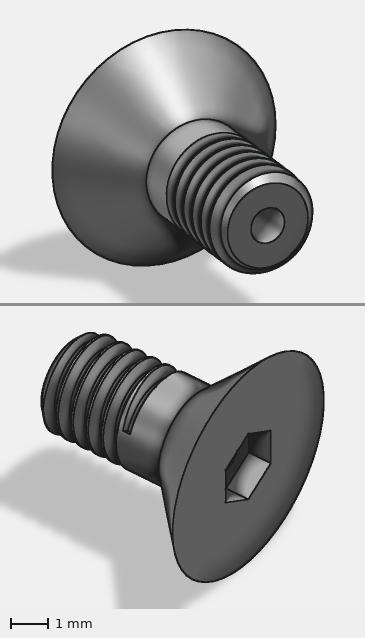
import cadquery as cq
import math

head_radius = 3.36
shank_radius = 1.5
screw_length = 6.0
head_height = head_radius - shank_radius

socket_across_flats = 2.0
socket_depth = 0.74
bore_diameter = 1.01

pitches_in_length = 12
pitch = screw_length / pitches_in_length
thread_depth = 0.29
root_width = 0.095
flank_angle = 30.0
thread_segments = 4
clearance = 0.035

lead_in_start_angle = 23.0
lead_in_sweep = 75.0
lead_in_depth = 0.13
groove_start_x = 3.025


def screw_blank():
    """Head, shank and 45 degree end chamfer turned about X."""
    tip_radius = shank_radius - thread_depth
    return (
        cq.Workplane("XY")
        .moveTo(0, 0)
        .lineTo(0, head_radius)
        .lineTo(head_height, shank_radius)
        .lineTo(screw_length - thread_depth, shank_radius)
        .lineTo(screw_length, tip_radius)
        .lineTo(screw_length, 0)
        .close()
        .revolve(360, (0, 0, 0), (1, 0, 0))
    )


def groove_profile(depth):
    """(radius, axial offset) corners of the groove section."""
    root_radius = shank_radius - depth
    cutter_height = thread_depth + clearance
    half_root = root_width / 2
    half_mouth = half_root + cutter_height * math.tan(math.radians(flank_angle))
    mouth_radius = root_radius + cutter_height
    return [
        (root_radius, -half_root),
        (root_radius, half_root),
        (mouth_radius, half_mouth),
        (mouth_radius, -half_mouth),
    ]


def helix_edge(radius, start_z, height, cone_angle):
    """Right-hand helix about Z, narrowing upwards for a negative cone angle."""
    slant = 1 / math.cos(math.radians(cone_angle))
    wire = cq.Wire.makeHelix(pitch * slant, height * slant, radius, angle=cone_angle)
    return wire.Edges()[0].translate(cq.Vector(0, 0, start_z))


def groove_cutter(start_depth, height, cone_angle=360.0):
    """Solid swept by the groove section about Z, starting over the X axis.

    A cone angle of 360 gives a plain cylindrical helix.
    """
    edges = [
        helix_edge(radius, offset, height, cone_angle)
        for radius, offset in groove_profile(start_depth)
    ]
    faces = [
        cq.Face.makeRuledSurface(edge, following)
        for edge, following in zip(edges, edges[1:] + edges[:1])
    ]
    for end in (0, 1):
        corners = [edge.positionAt(end) for edge in edges]
        faces.append(cq.Face.makeFromWires(cq.Wire.makePolygon(corners, close=True)))
    return cq.Solid.makeSolid(cq.Shell.makeShell(faces))


def place_cutter(cutter, angle, x):
    """Turn the cutter axis from Z to X, then set its start angle and position."""
    origin = cq.Vector(0, 0, 0)
    diagonal = cq.Vector(1, 1, 1)
    along_x = cutter.rotate(origin, diagonal, 120)
    turned = along_x.rotate(origin, cq.Vector(1, 0, 0), angle)
    return turned.translate(cq.Vector(x, 0, 0))


def socket():
    corner_diameter = socket_across_flats / math.cos(math.radians(30))
    return (
        cq.Workplane("YZ")
        .transformed(rotate=(0, 0, 90))
        .polygon(6, corner_diameter)
        .extrude(socket_depth)
    )


lead_in_length = pitch * lead_in_sweep / 360
lead_in_cone = math.degrees(math.atan2(thread_depth - lead_in_depth, lead_in_length))
lead_in = place_cutter(
    groove_cutter(lead_in_depth, lead_in_length, -lead_in_cone),
    lead_in_start_angle,
    groove_start_x,
)

thread_start_x = groove_start_x + lead_in_length
thread_start_angle = lead_in_start_angle + lead_in_sweep
segment_length = (screw_length + pitch - thread_start_x) / thread_segments
segment_sweep = 360 * segment_length / pitch

result = screw_blank()
for segment in range(thread_segments):
    cutter = place_cutter(
        groove_cutter(thread_depth, segment_length),
        thread_start_angle + segment * segment_sweep,
        thread_start_x + segment * segment_length,
    )
    result = result.cut(cutter)

bore = cq.Workplane("YZ").circle(bore_diameter / 2).extrude(screw_length)
result = result.cut(lead_in).cut(bore).cut(socket())